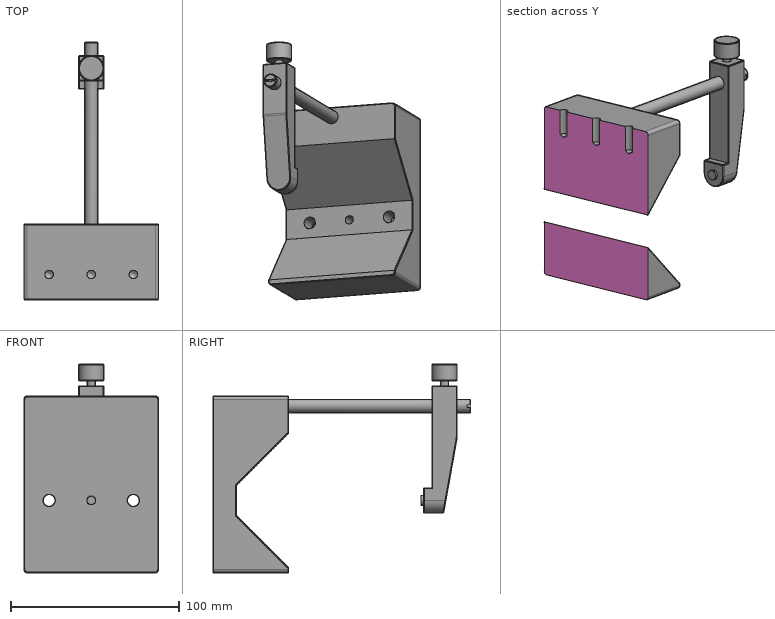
import cadquery as cq
import math

block_width = 80.0
block_depth = 45.0
block_height = 105.0
block_corner_radius = 2.0
edge_break = 0.5

jaw_center_z = 43.0
jaw_floor_y = 14.0
jaw_floor_height = 18.0

hole_spacing = 25.0
mount_hole_diameter = 7.0
center_hole_diameter = 5.0
top_hole_diameter = 5.0
top_hole_y = 15.0
top_hole_depth = 15.0
drill_point_angle = 118.0

rod_diameter = 8.0
rod_z = 99.0
rod_end_y = 153.0
rod_chamfer = 0.5
slot_width = 1.2
slot_depth = 2.0

arm_width = 15.0
arm_front_y = 130.0
arm_back_y = arm_front_y + arm_width
arm_top_z = 111.0
arm_taper_top_z = 80.0
arm_foot_back_y = 137.0
foot_front_y = 125.0
foot_radius = arm_width / 2
foot_top_z = jaw_center_z + foot_radius
foot_bottom_z = jaw_center_z - foot_radius

pin_diameter = 6.0
pin_length = 1.5

knob_diameter = 15.0
knob_height = 10.0
knob_gap = 3.0
knob_chamfer = 0.5
neck_diameter = 5.0


def y_cylinder(diameter, x, z, start_y, end_y):
    """Cylinder along Y between two Y positions."""
    base = cq.Workplane("XZ", origin=(x, start_y, z))
    return base.circle(diameter / 2).extrude(start_y - end_y)


def blind_hole_tool(diameter, depth):
    """Drill shape pointing down from the origin, with a conical tip below the given depth."""
    radius = diameter / 2
    tip_length = radius / math.tan(math.radians(drill_point_angle / 2))
    outline = [(0, 0), (radius, 0), (radius, -depth), (0, -depth - tip_length)]
    return cq.Workplane("XZ").polyline(outline).close().revolve(360, (0, 0, 0), (0, 1, 0))


def make_block():
    block = cq.Workplane("XY").box(
        block_width, block_depth, block_height, centered=(True, False, False)
    )
    block = block.edges("|Y").fillet(block_corner_radius)
    block = block.faces("<Y or >Y").chamfer(edge_break)

    flank_run = block_depth - jaw_floor_y
    floor_half = jaw_floor_height / 2
    mouth_half = floor_half + flank_run
    jaw = (
        cq.Workplane("YZ", origin=(0, 0, jaw_center_z))
        .polyline(
            [
                (jaw_floor_y, -floor_half),
                (jaw_floor_y, floor_half),
                (block_depth, mouth_half),
                (block_depth, -mouth_half),
            ]
        )
        .close()
        .extrude(block_width / 2, both=True)
    )
    block = block.cut(jaw)
    jaw_edges = cq.selectors.BoxSelector(
        (-block_width, jaw_floor_y - edge_break, jaw_center_z - mouth_half),
        (block_width, block_depth - 2 * edge_break, jaw_center_z + mouth_half),
    )
    block = block.faces("<X or >X").edges(jaw_edges).chamfer(edge_break)

    block = block.cut(y_cylinder(center_hole_diameter, 0, jaw_center_z, 0, block_depth))
    for x in (-hole_spacing, hole_spacing):
        block = block.cut(y_cylinder(mount_hole_diameter, x, jaw_center_z, 0, block_depth))

    drill = blind_hole_tool(top_hole_diameter, top_hole_depth)
    for x in (-hole_spacing, 0, hole_spacing):
        block = block.cut(drill.translate((x, top_hole_y, block_height)))
    return block


def make_rod():
    rod = y_cylinder(rod_diameter, 0, rod_z, block_depth, rod_end_y)
    rod = rod.faces(">Y").chamfer(rod_chamfer)
    slot = cq.Workplane("XY").box(rod_diameter, 2 * slot_depth, slot_width)
    return rod.cut(slot.translate((0, rod_end_y, rod_z)))


def make_arm():
    arm = (
        cq.Workplane("YZ")
        .polyline(
            [
                (arm_front_y, arm_top_z),
                (arm_back_y, arm_top_z),
                (arm_back_y, arm_taper_top_z),
                (arm_foot_back_y, foot_bottom_z),
                (foot_front_y, foot_bottom_z),
                (foot_front_y, foot_top_z),
                (arm_front_y, foot_top_z),
            ]
        )
        .close()
        .extrude(arm_width / 2, both=True)
    )
    rounded_end = (
        cq.Workplane("XZ", origin=(0, foot_front_y, 0))
        .moveTo(-foot_radius, arm_top_z)
        .lineTo(-foot_radius, jaw_center_z)
        .threePointArc((0, foot_bottom_z), (foot_radius, jaw_center_z))
        .lineTo(foot_radius, arm_top_z)
        .close()
        .extrude(foot_front_y - arm_back_y)
    )
    arm = arm.intersect(rounded_end)
    unbroken_edges = (
        cq.selectors.BoxSelector(
            (-edge_break, arm_front_y - edge_break, foot_top_z - edge_break),
            (edge_break, arm_front_y + edge_break, foot_top_z + edge_break),
        )
        + cq.selectors.BoxSelector(
            (-arm_width, foot_front_y + edge_break, jaw_center_z - edge_break),
            (arm_width, arm_back_y, jaw_center_z + edge_break),
        )
    )
    arm = arm.edges(cq.selectors.InverseSelector(unbroken_edges)).chamfer(edge_break)
    pin = y_cylinder(pin_diameter, 0, jaw_center_z, foot_front_y - pin_length, foot_front_y)
    return arm.union(pin)


def make_locking_screw():
    axis_y = (arm_front_y + arm_back_y) / 2
    neck = cq.Workplane("XY", origin=(0, axis_y, arm_top_z)).circle(neck_diameter / 2).extrude(knob_gap)
    knob = (
        cq.Workplane("XY", origin=(0, axis_y, arm_top_z + knob_gap))
        .circle(knob_diameter / 2)
        .extrude(knob_height)
        .faces("<Z or >Z")
        .chamfer(knob_chamfer)
    )
    return neck.union(knob)


result = make_block().union(make_rod()).union(make_arm()).union(make_locking_screw())